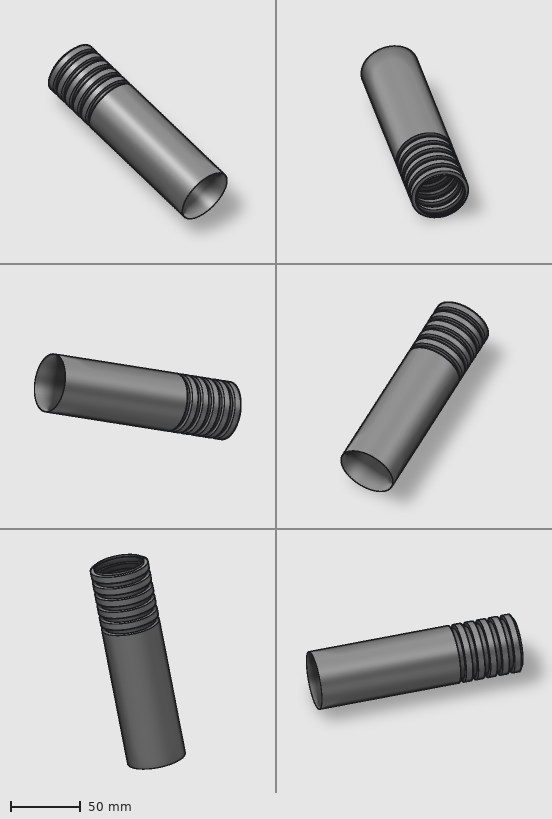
import math

import cadquery as cq

length = 150.0
crest_diameter = 42.2
root_diameter = 36.6
wall = 0.38

ring_count = 5
ring_pitch = 9.0
ring_base_width = 5.7
flank_run = 0.25
neck_length = 1.5
sleeve_start = neck_length + ring_count * ring_pitch

crest_radius = crest_diameter / 2
root_radius = root_diameter / 2
flank_tilt = math.atan2(flank_run, crest_radius - root_radius)


def corrugated_solid(inset):
    """Solid of revolution whose surface lies inset below the outer surface."""
    root = root_radius - inset
    crest = crest_radius - inset
    shift = inset * (1 / math.cos(flank_tilt) - math.tan(flank_tilt))

    outline = [(0, 0), (0, root)]
    for ring in range(ring_count):
        base_start = neck_length + ring * ring_pitch + shift
        base_end = neck_length + ring * ring_pitch + ring_base_width - shift
        outline += [
            (base_start, root),
            (base_start + flank_run, crest),
            (base_end - flank_run, crest),
            (base_end, root),
        ]
    outline += [
        (sleeve_start + shift, root),
        (sleeve_start + shift + flank_run, crest),
        (length, crest),
        (length, 0),
    ]
    profile = cq.Workplane("XY").polyline(outline).close()
    return profile.revolve(360, (0, 0, 0), (1, 0, 0))


tube = corrugated_solid(0).cut(corrugated_solid(wall))
result = tube.translate((-length / 2, 0, 0))